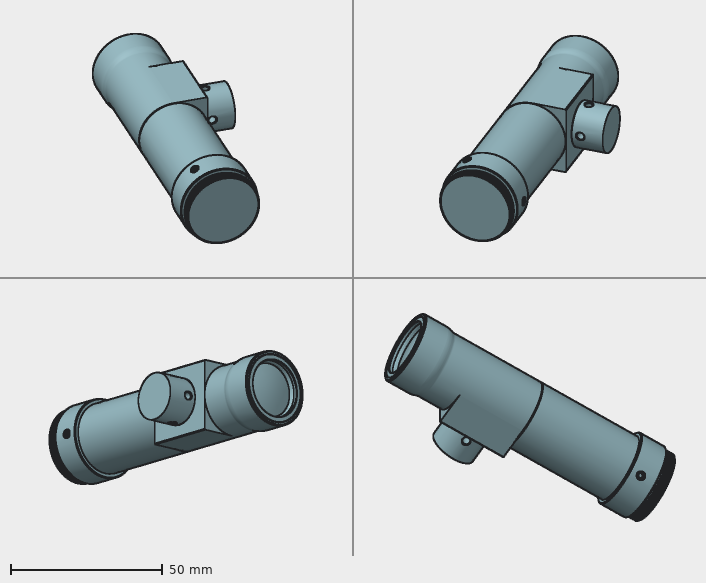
import cadquery as cq
import math

length = 98.5
tube_radius = 12.0

head_radius = 12.7
head_chamfer = 0.4
neck_start = 8.9
neck_convex_length = 1.8
neck_cone_length = 0.9
neck_concave_length = 0.6
block_start = 21.5
block_end = 46.4
block_chamfer = 0.3

bore_radius = 11.4
bore_chamfer = 0.2
retainer_length = 3.0
retainer_opening_radius = 9.7
retainer_entry_chamfer = 0.2
retainer_opening_depth = 1.4
retainer_taper_radius = 9.4
retainer_taper_depth = 2.0
lens_aperture_radius = 9.1
lens_edge_thickness = 3.0
lens_bulge = 1.3
bore_depth = retainer_length + lens_edge_thickness

tube_chamfer = 0.3
thread_pitch = 0.8
thread_crest_radius = 12.7
thread_root_radius = 12.2
thread_turns = 4
thread_crest_flat = 0.1
thread_root_flat = 0.2
thread_start = length - thread_turns * thread_pitch

clamp_start = 84.4
clamp_end = 94.3
clamp_radius = 13.5
clamp_chamfer = 0.3
screw_x = 88.5
screw_radius = 1.3
screw_hole_chamfer = 0.3
screw_top_radius = 13.1
screw_chamfer = 0.2
socket_width = 1.5
socket_depth = 0.6
screw_angles = (0, 120, 240)

port_x = (block_start + block_end) / 2
port_radius = 8.0
port_end = 23.2
port_base_chamfer = 0.3
port_hole_y = 15.3
port_hole_radius = 1.3
port_hole_chamfer = 0.34


def revolve_about_x(profile):
    """Turn a closed profile of (x, radius) points about the X axis."""
    return profile.close().revolve(360, (0, 0, 0), (1, 0, 0))


def cylinder_along_x(radius, start, end):
    """Solid cylinder on the tube axis between two X positions."""
    return cq.Workplane("YZ", origin=(start, 0, 0)).circle(radius).extrude(end - start)


def countersunk_drill(hole_radius, surface, chamfer):
    """Cutter along +Y from the origin, flared by the chamfer where it leaves the surface."""
    return (
        cq.Workplane("XY")
        .polyline(
            [
                (0, 0),
                (hole_radius, 0),
                (hole_radius, surface - chamfer),
                (hole_radius + 2 * chamfer, surface + chamfer),
                (0, surface + chamfer),
            ]
        )
        .close()
        .revolve(360, (0, 0, 0), (0, 1, 0))
    )


def make_housing():
    """Front head that narrows to the tube radius, with the square block that carries the port."""
    half_arcs = (neck_convex_length + neck_concave_length) / 2
    slope = math.atan((head_radius - tube_radius) / (half_arcs + neck_cone_length))
    neck_end = neck_start + neck_convex_length + neck_cone_length + neck_concave_length
    cone_start = (
        neck_start + neck_convex_length,
        head_radius - neck_convex_length * math.tan(slope / 2),
    )
    cone_end = (
        cone_start[0] + neck_cone_length,
        tube_radius + neck_concave_length * math.tan(slope / 2),
    )
    body = revolve_about_x(
        cq.Workplane("XY")
        .moveTo(0, 0)
        .lineTo(0, head_radius - head_chamfer)
        .lineTo(head_chamfer, head_radius)
        .lineTo(neck_start, head_radius)
        .tangentArcPoint(cone_start, relative=False)
        .lineTo(*cone_end)
        .tangentArcPoint((neck_end, tube_radius), relative=False)
        .lineTo(block_end, tube_radius)
        .lineTo(block_end, 0)
    )
    block = (
        cq.Workplane("XY")
        .box(block_end - block_start, tube_radius, 2 * tube_radius, centered=(False, False, True))
        .translate((block_start, 0, 0))
        .faces(">Y")
        .edges("|X")
        .chamfer(block_chamfer)
    )
    bore = revolve_about_x(
        cq.Workplane("XY").polyline(
            [
                (0, 0),
                (0, bore_radius + bore_chamfer),
                (bore_chamfer, bore_radius),
                (bore_depth, bore_radius),
                (bore_depth, 0),
            ]
        )
    )
    return body.union(block).cut(bore)


def make_retainer():
    """Ring in the front bore, its opening narrowing in two tapers to the lens."""
    return revolve_about_x(
        cq.Workplane("XY").polyline(
            [
                (retainer_entry_chamfer, retainer_opening_radius),
                (0, retainer_opening_radius + retainer_entry_chamfer),
                (0, bore_radius),
                (retainer_length, bore_radius),
                (retainer_length, lens_aperture_radius),
                (retainer_taper_depth, retainer_taper_radius),
                (retainer_opening_depth, retainer_opening_radius),
            ]
        )
    )


def make_lens():
    """Lens with a flat rim under the retainer and a convex front."""
    rim = retainer_length
    dome_radius = (lens_aperture_radius**2 + lens_bulge**2) / (2 * lens_bulge)
    dome_centre = rim - lens_bulge + dome_radius
    half_angle = math.asin(lens_aperture_radius / dome_radius) / 2
    dome_middle = (
        dome_centre - dome_radius * math.cos(half_angle),
        dome_radius * math.sin(half_angle),
    )
    return revolve_about_x(
        cq.Workplane("XY")
        .moveTo(rim - lens_bulge, 0)
        .threePointArc(dome_middle, (rim, lens_aperture_radius))
        .lineTo(rim, bore_radius)
        .lineTo(bore_depth, bore_radius)
        .lineTo(bore_depth, 0)
    )


def make_rear_tube():
    """Plain tube that ends in a thread, built as evenly spaced rings with flat crests and roots."""
    flank = (thread_pitch - thread_crest_flat - thread_root_flat) / 2
    profile = (
        cq.Workplane("XY")
        .moveTo(block_end, 0)
        .lineTo(block_end, tube_radius - tube_chamfer)
        .lineTo(block_end + tube_chamfer, tube_radius)
        .lineTo(thread_start, tube_radius)
        .lineTo(thread_start, thread_root_radius)
    )
    for turn in range(thread_turns):
        crest_start = thread_start + turn * thread_pitch + flank
        crest_end = crest_start + thread_crest_flat
        profile = (
            profile.lineTo(crest_start, thread_crest_radius)
            .lineTo(crest_end, thread_crest_radius)
            .lineTo(crest_end + flank, thread_root_radius)
            .lineTo(crest_end + flank + thread_root_flat, thread_root_radius)
        )
    return revolve_about_x(profile.lineTo(length, 0))


def place_screw_part(part, angle):
    """Move a part built along +Y at the origin to a screw position round the clamp ring."""
    return part.rotate((0, 0, 0), (1, 0, 0), angle).translate((screw_x, 0, 0))


def make_clamp_ring():
    """Chamfered ring round the rear tube, with a hole for each set screw."""
    ring = cylinder_along_x(clamp_radius, clamp_start, clamp_end).edges().chamfer(clamp_chamfer)
    ring = ring.cut(cylinder_along_x(tube_radius, clamp_start, clamp_end))
    drill = countersunk_drill(screw_radius, clamp_radius, screw_hole_chamfer)
    for angle in screw_angles:
        ring = ring.cut(place_screw_part(drill, angle))
    return ring


def make_set_screw(angle):
    """Hexagon socket set screw that bears on the rear tube."""
    shank = (
        cq.Workplane("XZ")
        .circle(screw_radius)
        .extrude(-screw_top_radius)
        .faces(">Y")
        .chamfer(screw_chamfer)
    )
    socket = (
        cq.Workplane("XZ", origin=(0, screw_top_radius, 0))
        .polygon(6, socket_width, circumscribed=True)
        .extrude(socket_depth)
    )
    screw = place_screw_part(shank.cut(socket), angle)
    return screw.cut(cylinder_along_x(tube_radius, clamp_start, clamp_end))


def make_port():
    """Round stub on the block, with countersunk cross holes through it along X and Z."""
    port = (
        cq.Workplane("XZ", origin=(port_x, tube_radius, 0))
        .circle(port_radius)
        .extrude(tube_radius - port_end)
        .faces("<Y")
        .chamfer(port_base_chamfer)
    )
    drill = countersunk_drill(port_hole_radius, port_radius, port_hole_chamfer)
    drill = drill.rotate((0, 0, 0), (0, 0, 1), 90)
    for angle in (0, 90, 180, 270):
        aimed_drill = drill.rotate((0, 0, 0), (0, 1, 0), angle)
        port = port.cut(aimed_drill.translate((port_x, port_hole_y, 0)))
    return port


housing = make_housing()
retainer = make_retainer()
lens = make_lens()
rear_tube = make_rear_tube()
clamp_ring = make_clamp_ring()
set_screws = [make_set_screw(angle) for angle in screw_angles]
port = make_port()

result = cq.Compound.makeCompound(
    [
        housing.val(),
        retainer.val(),
        lens.val(),
        rear_tube.val(),
        clamp_ring.val(),
        *[screw.val() for screw in set_screws],
        port.val(),
    ]
)